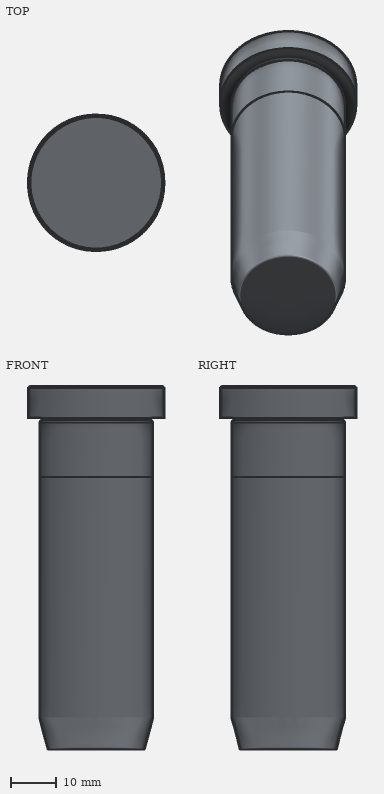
import cadquery as cq
import math

total_length = 80.0
head_diameter = 30.0
head_height = 7.0
head_chamfer = 0.5
shank_diameter = 25.0

groove_depth = 0.5

fitted_length = 13.0

taper_height = 7.0
taper_angle = 15.0
foot_fillet = 0.5

head_radius = head_diameter / 2
shank_radius = shank_diameter / 2
foot_radius = shank_radius - taper_height * math.tan(math.radians(taper_angle))
groove_radius = shank_radius - groove_depth
head_bottom = total_length - head_height
groove_middle = head_bottom - groove_depth
joint_height = head_bottom - fitted_length


def turn(outline):
    """Turn a closed outline in the XZ plane about the Z axis."""
    return outline.revolve(360, (0, 0, 0), (0, 1, 0))


def make_headed_piece():
    """Chamfered head, relief groove and the fitted length below it."""
    corner_inset = groove_depth * (1 - math.cos(math.radians(45)))
    corner_middle = (groove_radius + corner_inset, head_bottom - corner_inset)
    outline = (
        cq.Workplane("XZ")
        .moveTo(0, joint_height)
        .lineTo(shank_radius, joint_height)
        .lineTo(shank_radius, groove_middle - groove_depth)
        .lineTo(groove_radius, groove_middle)
        .threePointArc(corner_middle, (shank_radius, head_bottom))
        .lineTo(head_radius, head_bottom)
        .lineTo(head_radius, total_length - head_chamfer)
        .lineTo(head_radius - head_chamfer, total_length)
        .lineTo(0, total_length)
        .close()
    )
    return turn(outline)


def make_shank():
    """Plain guide length with a tapered foot and a rounded bottom edge."""
    outline = (
        cq.Workplane("XZ")
        .lineTo(foot_radius, 0)
        .lineTo(shank_radius, taper_height)
        .lineTo(shank_radius, joint_height)
        .lineTo(0, joint_height)
        .close()
    )
    return turn(outline).faces("<Z").edges().fillet(foot_fillet)


headed_piece = make_headed_piece()
shank = make_shank()

result = cq.Compound.makeCompound([headed_piece.val(), shank.val()])